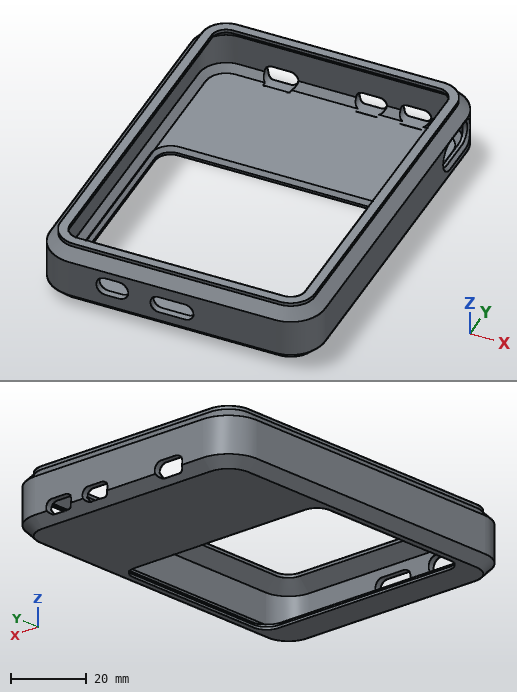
import cadquery as cq

WIDTH = 80.0
LENGTH = 110.0
HEIGHT = 18.0
CORNER_RADIUS = 10.0
OUTER_CHAMFER = 3.0
LIP_HEIGHT = 1.0
SHOULDER_Z = HEIGHT - LIP_HEIGHT

WALL = 2.0
FLOOR = 2.0
FLOOR_CHAMFER = 2.0
OPENING_INSET = 5.75

WINDOW_WIDTH = 70.0
WINDOW_BACK_Y = 15.2
WINDOW_FRONT_Y = -41.5
WINDOW_RADIUS = 4.6
WINDOW_CHAMFER = 1.2

FRONT_PORTS = [
    (-17.35, 9.2, 9.25, 5.5),
    (0.0, 8.2, 12.5, 5.0),
]

SIDE_PORT_Y = 39.2
SIDE_PORT_Z = 9.25
SIDE_PORT_LENGTH = 16.5
SIDE_PORT_HEIGHT = 7.3
SIDE_PORT_FLARE = 1.0
SIDE_PORT_FLARE_ANGLE = 45.0

BUTTON_SLOTS = [
    (-17.6, 1.6, 9.8, 4.7),
    (8.6, 1.9, 8.9, 4.1),
    (21.5, 1.9, 8.9, 4.1),
]
BUTTON_SLOT_INNER_Y = 49.8

OVERCUT = 1.0


def inset_outline(inset, z):
    """Rounded outline of the body at height z, moved inward by inset."""
    return (
        cq.Sketch()
        .rect(WIDTH - 2 * inset, LENGTH - 2 * inset)
        .vertices()
        .fillet(CORNER_RADIUS - inset)
        .moved(cq.Location(cq.Vector(0, 0, z)))
    )


def stack(levels):
    """Solid through successive (inset, z) outlines, straight between neighbours."""
    solid = cq.Workplane("XY")
    for (inset_a, z_a), (inset_b, z_b) in zip(levels, levels[1:]):
        lower = inset_outline(inset_a, z_a)
        upper = inset_outline(inset_b, z_b)
        solid = solid.add(cq.Workplane("XY").placeSketch(lower, upper).loft())
    return solid.combine()


def make_body():
    """Rounded block, chamfered at both ends, with a short straight lip on top."""
    return stack([
        (OUTER_CHAMFER, 0),
        (0, OUTER_CHAMFER),
        (0, SHOULDER_Z - OUTER_CHAMFER),
        (OUTER_CHAMFER, SHOULDER_Z),
        (OUTER_CHAMFER, HEIGHT),
    ])


def make_cavity():
    """Pocket with a sloped floor edge and a 45 degree slope up to the narrower opening."""
    overhang = OPENING_INSET - WALL
    return stack([
        (WALL + FLOOR_CHAMFER, FLOOR),
        (WALL, FLOOR + FLOOR_CHAMFER),
        (WALL, SHOULDER_Z - overhang),
        (OPENING_INSET, SHOULDER_Z),
        (OPENING_INSET, HEIGHT + OVERCUT),
    ])


def window_outline(growth, z):
    """Rounded window outline at height z, grown outward by growth."""
    length = WINDOW_BACK_Y - WINDOW_FRONT_Y
    centre_y = (WINDOW_BACK_Y + WINDOW_FRONT_Y) / 2
    return (
        cq.Sketch()
        .rect(WINDOW_WIDTH + 2 * growth, length + 2 * growth)
        .vertices()
        .fillet(WINDOW_RADIUS + growth)
        .moved(cq.Location(cq.Vector(0, centre_y, z)))
    )


def make_window():
    """Rounded opening through the floor, flared at the floor's upper edge."""
    throat = cq.Workplane("XY").placeSketch(window_outline(0, 0)).extrude(FLOOR)
    lower = window_outline(0, FLOOR - WINDOW_CHAMFER)
    upper = window_outline(WINDOW_CHAMFER, FLOOR)
    flare = cq.Workplane("XY").placeSketch(lower, upper).loft()
    return throat.union(flare)


def make_front_port(x, z, length, height):
    """Straight obround port through the front wall."""
    depth = WALL + 2 * OVERCUT
    start_y = -LENGTH / 2 + WALL + OVERCUT
    return (
        cq.Workplane("XZ", origin=(x, start_y, z))
        .slot2D(length, height)
        .extrude(depth)
    )


def make_side_port():
    """Port with a short straight throat at the inner face, flaring to the outer face."""
    start_x = WIDTH / 2 - WALL - OVERCUT
    throat = (
        cq.Workplane("YZ", origin=(start_x, SIDE_PORT_Y, SIDE_PORT_Z))
        .slot2D(SIDE_PORT_LENGTH, SIDE_PORT_HEIGHT)
        .extrude(WALL + OVERCUT)
    )
    flare_length = SIDE_PORT_LENGTH + 2 * SIDE_PORT_FLARE
    flare_height = SIDE_PORT_HEIGHT + 2 * SIDE_PORT_FLARE
    flare = (
        cq.Workplane("YZ", origin=(WIDTH / 2, SIDE_PORT_Y, SIDE_PORT_Z))
        .slot2D(flare_length, flare_height)
        .extrude(-SIDE_PORT_FLARE, taper=SIDE_PORT_FLARE_ANGLE)
    )
    return throat.union(flare)


def make_button_slot(x, bottom_z, length, height):
    """Slot through the back wall that also trims the sloped floor edge."""
    depth = LENGTH / 2 + OVERCUT - BUTTON_SLOT_INNER_Y
    return (
        cq.Workplane("XZ", origin=(x, BUTTON_SLOT_INNER_Y, bottom_z + height / 2))
        .slot2D(length, height)
        .extrude(-depth)
    )


result = make_body().cut(make_cavity()).cut(make_window()).cut(make_side_port())
for port in FRONT_PORTS:
    result = result.cut(make_front_port(*port))
for slot in BUTTON_SLOTS:
    result = result.cut(make_button_slot(*slot))